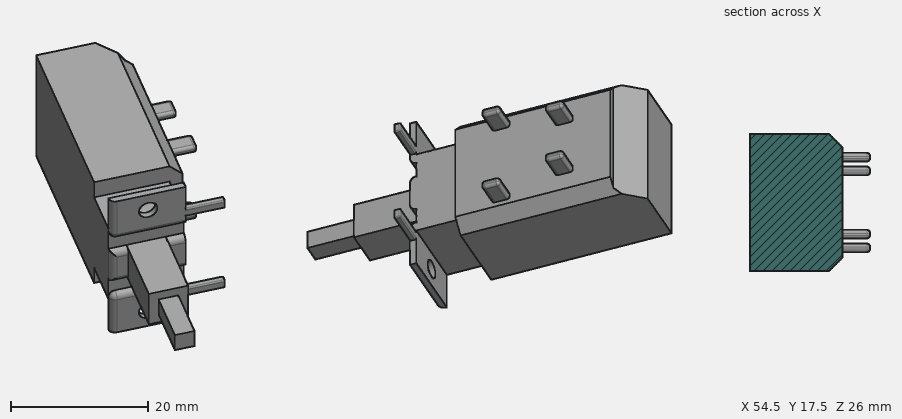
import cadquery as cq


housing_length = 28.5
housing_depth = 11.5
housing_height = 20.0
ridge_rise = 2.0
bevel_length = 4.0
bevel_start_depth = 9.0
bevel_end_depth = 12.3
nose_length = 7.0
nose_height = 14.0

plunger_size = 6.0
plunger_length = 11.0
tip_size = 3.0
tip_length = 8.0

plate_thickness = 1.0
plate_height = 26.0
ear_corner_radius = 1.0
flat_rim = 0.01
ear_inner_z = 5.5
ear_hole_diameter = 2.8
strip_height = plunger_size

terminal_reach = 17.5
blade_width = 2.8
blade_thickness = 1.3
blade_rounding = 0.5
rear_blade_centre = (11.3, 4.6)
front_blade_centre = (21.3, 6.6)
pin_width = 1.5
pin_centre_z = 7.9
pin_rounding = 0.2

edge_rounding = plate_thickness - flat_rim
ridge_depth = housing_depth + ridge_rise
nose_end = housing_length + nose_length
plate_face = nose_end + plate_thickness
plunger_end = nose_end + plunger_length
axis_y = housing_depth / 2
ear_height = plate_height / 2 - ear_inner_z
ear_hole_z = (plate_height / 2 + nose_height / 2) / 2


def box(x_range, y_range, z_range):
    """Axis-aligned box between the given pairs of limits."""
    (x0, x1), (y0, y1), (z0, z1) = x_range, y_range, z_range
    return cq.Workplane("XY").box(x1 - x0, y1 - y0, z1 - z0, centered=False).translate((x0, y0, z0))


def centred(size, centre=0.0):
    """Limits of a span of the given size about its centre."""
    return (centre - size / 2, centre + size / 2)


def mirrored_pair(shape):
    """The shape together with its mirror image below the plunger axis."""
    return shape.union(shape.mirror("XY"))


def make_housing():
    half_height = housing_height / 2
    plan = (
        cq.Workplane("XY")
        .workplane(offset=-half_height)
        .polyline([
            (0, 0),
            (housing_length, 0),
            (housing_length, ridge_depth),
            (bevel_length, ridge_depth),
            (bevel_length, bevel_end_depth),
            (0, bevel_start_depth),
        ])
        .close()
        .extrude(housing_height)
    )
    ridge_half_height = half_height - ridge_rise
    section = (
        cq.Workplane("YZ")
        .polyline([
            (0, -half_height),
            (housing_depth, -half_height),
            (ridge_depth, -ridge_half_height),
            (ridge_depth, ridge_half_height),
            (housing_depth, half_height),
            (0, half_height),
        ])
        .close()
        .extrude(housing_length)
    )
    nose = box((housing_length, nose_end), (0, housing_depth), centred(nose_height))
    return plan.intersect(section).union(nose)


def make_plunger():
    stem = box((nose_end, plunger_end), centred(plunger_size, axis_y), centred(plunger_size))
    tip_span = (plunger_end, plunger_end + tip_length)
    tip = box(tip_span, centred(tip_size, axis_y), centred(tip_size))
    return stem.union(tip)


def make_ear():
    """Upper ear, with its inner corner and the adjoining outer edges rounded."""
    ear = box((nose_end, plate_face), (0, housing_depth), (ear_inner_z, plate_height / 2))
    ear = ear.edges("|X and <Y and <Z").fillet(ear_corner_radius)
    flat_side_edge = cq.selectors.NearestToPointSelector((plate_face, 0, ear_inner_z + ear_height / 2))
    ear = ear.edges(flat_side_edge).fillet(edge_rounding)
    hole = (
        cq.Workplane("YZ", origin=(nose_end, axis_y, ear_hole_z))
        .circle(ear_hole_diameter / 2)
        .extrude(plate_thickness)
    )
    return ear.cut(hole)


def make_strip():
    """Strip across the plunger, with its outer edges rounded on three sides."""
    strip = box((nose_end, plate_face), (0, housing_depth), centred(strip_height))
    return strip.faces(">X").edges("|Y or <Y").fillet(edge_rounding)


def make_blade(centre):
    """Upper terminal blade, rounded along its length and around its end."""
    x, z = centre
    blade = box(centred(blade_width, x), (housing_depth, terminal_reach), centred(blade_thickness, z))
    return blade.edges("|Y or >Y").fillet(blade_rounding)


def make_pin():
    """Upper ground pin, an extension of the ear beside the housing."""
    length_span = (housing_depth, terminal_reach)
    pin = box((nose_end, plate_face), length_span, centred(pin_width, pin_centre_z))
    return pin.edges("|Y or >Y").fillet(pin_rounding)


result = make_housing().union(make_plunger()).union(make_strip())
for upper_part in (
    make_ear(),
    make_pin(),
    make_blade(rear_blade_centre),
    make_blade(front_blade_centre),
):
    result = result.union(mirrored_pair(upper_part))